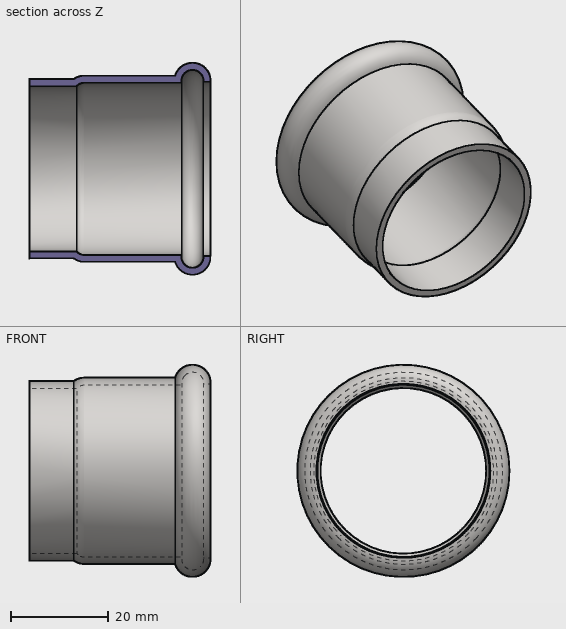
import cadquery as cq
import math

total_length = 37.3
spigot_length = 9.17
shoulder_length = 2.1

spigot_diameter = 37.0
spigot_bore = 34.0
body_diameter = 38.4
lip_bore = 35.8
bead_diameter = 43.7

bead_round = 3.75

wall = (spigot_diameter - spigot_bore) / 2

spigot_radius = spigot_diameter / 2
bore_radius = spigot_bore / 2
body_radius = body_diameter / 2
body_bore_radius = body_radius - wall
lip_radius = lip_bore / 2
bead_center_radius = bead_diameter / 2 - bead_round

shoulder_end = spigot_length + shoulder_length
shoulder_rise = body_radius - spigot_radius
shoulder_round = (shoulder_length**2 + shoulder_rise**2) / (2 * shoulder_rise)
inner_round = shoulder_round - wall
inner_length = math.sqrt(inner_round**2 - (inner_round - shoulder_rise) ** 2)
inner_start = shoulder_end - inner_length

bead_center = total_length - bead_round
groove_round = bead_round - wall


def arc_reach(arc_radius, distance):
    """Axial distance from the bead center to its arc at the given distance from the X axis."""
    return math.sqrt(arc_radius**2 - (distance - bead_center_radius) ** 2)


bead_start = bead_center - arc_reach(bead_round, body_radius)
groove_start = bead_center - arc_reach(groove_round, body_bore_radius)
lip_outside = bead_center + arc_reach(bead_round, lip_radius)
lip_inside = bead_center + arc_reach(groove_round, lip_radius)

half_section = (
    cq.Workplane("XY")
    .moveTo(0, bore_radius)
    .lineTo(0, spigot_radius)
    .lineTo(spigot_length, spigot_radius)
    .radiusArc((shoulder_end, body_radius), shoulder_round)
    .lineTo(bead_start, body_radius)
    .threePointArc((bead_center, bead_center_radius + bead_round), (lip_outside, lip_radius))
    .lineTo(lip_inside, lip_radius)
    .threePointArc((bead_center, bead_center_radius + groove_round), (groove_start, body_bore_radius))
    .lineTo(shoulder_end, body_bore_radius)
    .radiusArc((inner_start, bore_radius), -inner_round)
    .close()
)

result = half_section.revolve(360, (0, 0, 0), (1, 0, 0))